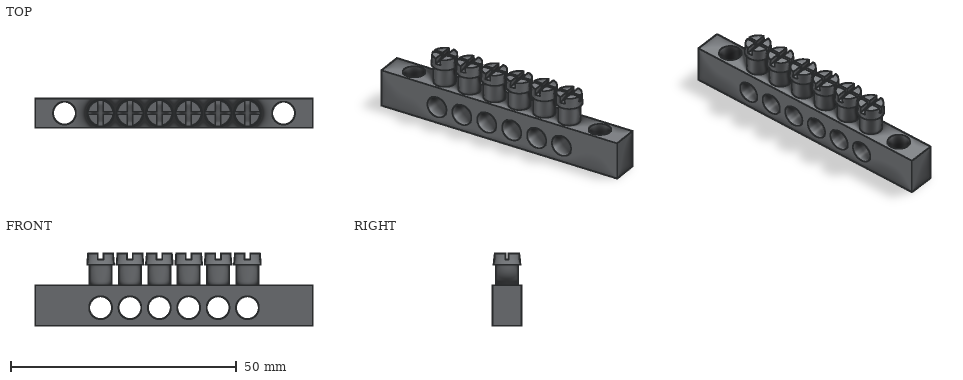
import cadquery as cq

bar_length = 61.5
bar_width = 6.5
bar_height = 9.0

hole_diameter = 5.0
mount_hole_end_distance = 6.5
wire_hole_height = 4.0

screw_count = 6
screw_pitch = 6.5
shank_diameter = 5.0
total_height = 16.0
head_height = 2.5
head_base_diameter = 6.0
head_top_diameter = 5.6

slot_depth = 1.3
wide_slot_width = 1.2
narrow_slot_width = 0.6

head_base_z = total_height - head_height
mount_hole_x = bar_length / 2 - mount_hole_end_distance
first_screw_x = -screw_pitch * (screw_count - 1) / 2
screw_positions = [first_screw_x + i * screw_pitch for i in range(screw_count)]


def make_bar():
    """Rectangular bar with vertical mounting holes and cross wire holes."""
    bar = cq.Workplane("XY").box(bar_length, bar_width, bar_height, centered=(True, True, False))
    mount_holes = (
        cq.Workplane("XY")
        .pushPoints([(-mount_hole_x, 0), (mount_hole_x, 0)])
        .circle(hole_diameter / 2)
        .extrude(bar_height)
    )
    wire_holes = (
        cq.Workplane("XZ")
        .pushPoints([(x, wire_hole_height) for x in screw_positions])
        .circle(hole_diameter / 2)
        .extrude(bar_width / 2, both=True)
    )
    return bar.cut(mount_holes).cut(wire_holes)


def make_screw():
    """Screw on the Z axis, from the top of the bar up, with a tapered cross-slotted head."""
    profile = [
        (0, bar_height),
        (shank_diameter / 2, bar_height),
        (shank_diameter / 2, head_base_z),
        (head_base_diameter / 2, head_base_z),
        (head_top_diameter / 2, total_height),
        (0, total_height),
    ]
    screw = cq.Workplane("XZ").polyline(profile).close().revolve(360, (0, 0), (0, 1))
    slot_sizes = [
        (wide_slot_width, head_base_diameter),
        (head_base_diameter, narrow_slot_width),
    ]
    for size_x, size_y in slot_sizes:
        slot = (
            cq.Workplane("XY", origin=(0, 0, total_height - slot_depth))
            .rect(size_x, size_y)
            .extrude(slot_depth)
        )
        screw = screw.cut(slot)
    return screw


result = make_bar()
screw = make_screw()
for x in screw_positions:
    result = result.union(screw.translate((x, 0, 0)))